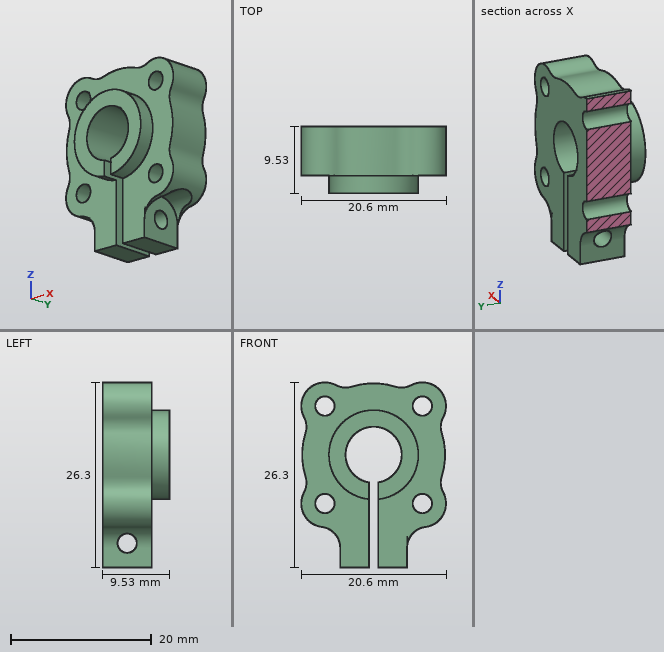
import cadquery as cq
import math

INCH = 25.4

plate_thickness = 0.275 * INCH
waist_radius = 0.40 * INCH
overall_width = 0.81 * INCH

bolt_circle_diameter = 0.77 * INCH
mounting_hole_diameter = 2.71
lobe_offset = bolt_circle_diameter / 2 * math.cos(math.radians(45))
lobe_radius = overall_width / 2 - lobe_offset

blend_radius = 2.93

bore_diameter = 0.3125 * INCH
boss_diameter = 0.5 * INCH
boss_height = 0.1 * INCH
total_depth = plate_thickness + boss_height

stem_width = 0.375 * INCH
stem_bottom = -16.0
slot_width = 0.05 * INCH
clamp_hole_diameter = mounting_hole_diameter
clamp_hole_z = -12.55
clamp_hole_y = plate_thickness / 2
spotface_diameter = 6.975


def point_toward(start, target, distance):
    """Point at a given distance from start on the line to target."""
    span = math.dist(start, target)
    return tuple(s + (t - s) * distance / span for s, t in zip(start, target))


def polar(radius, angle):
    return (radius * math.cos(angle), radius * math.sin(angle))


def mirrored(point):
    return (-point[0], point[1])


def waist_blend_angle():
    """Angle between a lobe's diagonal and the centre of its blend with the waist (law of cosines)."""
    to_blend = waist_radius + blend_radius
    to_lobe = bolt_circle_diameter / 2
    lobe_to_blend = lobe_radius + blend_radius
    cosine = (to_blend**2 + to_lobe**2 - lobe_to_blend**2) / (2 * to_blend * to_lobe)
    return math.acos(cosine)


def lobed_plate():
    """Waist disc with a blended lobe at each corner; the stem is added separately."""
    blend_angle = waist_blend_angle()
    blend_center_distance = waist_radius + blend_radius
    outline = cq.Workplane("XZ").moveTo(*polar(waist_radius, math.radians(45) - blend_angle))
    for corner in range(4):
        diagonal = math.radians(45 + 90 * corner)
        lobe_center = polar(bolt_circle_diameter / 2, diagonal)
        entry_center = polar(blend_center_distance, diagonal - blend_angle)
        exit_center = polar(blend_center_distance, diagonal + blend_angle)
        entry_mid = point_toward(entry_center, polar(waist_radius, diagonal - blend_angle / 2), blend_radius)
        exit_mid = point_toward(exit_center, polar(waist_radius, diagonal + blend_angle / 2), blend_radius)
        outline = (
            outline.threePointArc(entry_mid, point_toward(lobe_center, entry_center, lobe_radius))
            .threePointArc(
                polar(bolt_circle_diameter / 2 + lobe_radius, diagonal),
                point_toward(lobe_center, exit_center, lobe_radius),
            )
            .threePointArc(exit_mid, polar(waist_radius, diagonal + blend_angle))
            .threePointArc(
                polar(waist_radius, diagonal + math.radians(45)),
                polar(waist_radius, diagonal + math.radians(90) - blend_angle),
            )
        )
    return outline.close().extrude(-plate_thickness)


def clamp_stem():
    """Stem that flares through a concave blend into the two lower lobes."""
    half_width = stem_width / 2
    lobe_center = (lobe_offset, -lobe_offset)
    blend_x = half_width + blend_radius
    blend_drop = math.sqrt((lobe_radius + blend_radius) ** 2 - (blend_x - lobe_offset) ** 2)
    blend_center = (blend_x, -lobe_offset - blend_drop)
    blend_top = point_toward(blend_center, lobe_center, blend_radius)
    blend_bottom = (half_width, blend_center[1])
    chord_middle = tuple((a + b) / 2 for a, b in zip(blend_top, blend_bottom))
    blend_mid = point_toward(blend_center, chord_middle, blend_radius)
    return (
        cq.Workplane("XZ")
        .moveTo(*lobe_center)
        .lineTo(*blend_top)
        .threePointArc(blend_mid, blend_bottom)
        .lineTo(half_width, stem_bottom)
        .lineTo(-half_width, stem_bottom)
        .lineTo(*mirrored(blend_bottom))
        .threePointArc(mirrored(blend_mid), mirrored(blend_top))
        .lineTo(*mirrored(lobe_center))
        .close()
        .extrude(-plate_thickness)
    )


def boss():
    return cq.Workplane("XZ").circle(boss_diameter / 2).extrude(boss_height)


def bore():
    return (
        cq.Workplane("XZ", origin=(0, plate_thickness, 0))
        .circle(bore_diameter / 2)
        .extrude(total_depth)
    )


def mounting_holes():
    return (
        cq.Workplane("XZ")
        .rect(2 * lobe_offset, 2 * lobe_offset, forConstruction=True)
        .vertices()
        .circle(mounting_hole_diameter / 2)
        .extrude(-plate_thickness)
    )


def clamp_slot():
    """Slot from the bore axis down through the end of the stem."""
    return (
        cq.Workplane("XY", origin=(0, (plate_thickness - boss_height) / 2, stem_bottom))
        .rect(slot_width, total_depth)
        .extrude(-stem_bottom)
    )


def clamp_screw_hole():
    """Cross hole through the stem, with a screw-head spotface flush with the stem's +X side."""
    hole = (
        cq.Workplane("YZ", origin=(-overall_width / 2, clamp_hole_y, clamp_hole_z))
        .circle(clamp_hole_diameter / 2)
        .extrude(overall_width)
    )
    spotface = (
        cq.Workplane("YZ", origin=(stem_width / 2, clamp_hole_y, clamp_hole_z))
        .circle(spotface_diameter / 2)
        .extrude((overall_width - stem_width) / 2)
    )
    return hole.union(spotface)


result = (
    lobed_plate()
    .union(clamp_stem())
    .union(boss())
    .cut(bore())
    .cut(mounting_holes())
    .cut(clamp_slot())
    .cut(clamp_screw_hole())
)